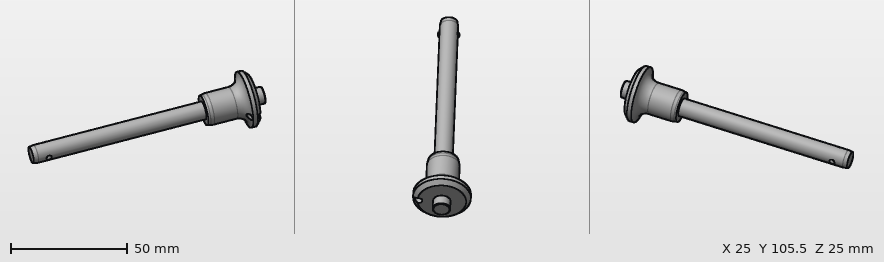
import cadquery as cq
import math

OVERALL_LENGTH = 105.5

SHANK_RADIUS = 4.0
NOSE_RADIUS = 3.7
NOSE_LENGTH = 2.0

SHOULDER_RADIUS = 6.6
COLLAR_RADIUS = 6.9
BODY_DIAMETER = 14.2
FLANGE_DIAMETER = 25.0
FLANGE_CHAMFER = 2.0
COLLAR_LENGTH = 1.0
TAPER_LENGTH = 1.6
BODY_LENGTH = 10.5
RIM_WIDTH = 2.0
BODY_RADIUS = BODY_DIAMETER / 2
FLANGE_RADIUS = FLANGE_DIAMETER / 2
FLARE_RADIUS = FLANGE_RADIUS - BODY_RADIUS

BUTTON_RADIUS = 3.8
BUTTON_LENGTH = 4.6
BUTTON_CHAMFER = 0.3

BALL_RADIUS = 1.4
BALL_REACH = 4.7
BALL_FROM_NOSE = 6.9

LANYARD_HOLE_DIAMETER = 3.2
LANYARD_HOLE_OFFSET = 10.0

collar_end = COLLAR_LENGTH
body_start = collar_end + TAPER_LENGTH
body_end = body_start + BODY_LENGTH
rim_start = body_end + FLARE_RADIUS
rim_end = rim_start + RIM_WIDTH
handle_end = rim_end + FLANGE_CHAMFER
button_end = handle_end + BUTTON_LENGTH
nose_tip = button_end - OVERALL_LENGTH


def make_turned_body():
    """Revolve the shank, handle and button from one half profile."""
    flare_midpoint = (
        FLANGE_RADIUS - FLARE_RADIUS * math.cos(math.pi / 4),
        body_end + FLARE_RADIUS * math.sin(math.pi / 4),
    )
    profile = (
        cq.Workplane("XY")
        .moveTo(0, nose_tip)
        .lineTo(NOSE_RADIUS, nose_tip)
        .lineTo(SHANK_RADIUS, nose_tip + NOSE_LENGTH)
        .lineTo(SHANK_RADIUS, 0)
        .lineTo(SHOULDER_RADIUS, 0)
        .lineTo(COLLAR_RADIUS, collar_end)
        .lineTo(BODY_RADIUS, body_start)
        .lineTo(BODY_RADIUS, body_end)
        .threePointArc(flare_midpoint, (FLANGE_RADIUS, rim_start))
        .lineTo(FLANGE_RADIUS, rim_end)
        .lineTo(FLANGE_RADIUS - FLANGE_CHAMFER, handle_end)
        .lineTo(BUTTON_RADIUS, handle_end)
        .lineTo(BUTTON_RADIUS, button_end - BUTTON_CHAMFER)
        .lineTo(BUTTON_RADIUS - BUTTON_CHAMFER, button_end)
        .lineTo(0, button_end)
        .close()
    )
    return profile.revolve(360, (0, 0, 0), (0, 1, 0))


def make_locking_ball(side):
    """Ball standing out of the shank on the +X (side 1) or -X (side -1) face."""
    center_x = side * (BALL_REACH - BALL_RADIUS)
    center = (center_x, nose_tip + BALL_FROM_NOSE, 0)
    return cq.Workplane("XY").sphere(BALL_RADIUS).translate(center)


def make_lanyard_hole():
    """Cutter running along Y through the flange, beside the handle body."""
    return (
        cq.Workplane("XZ", origin=(LANYARD_HOLE_OFFSET, handle_end, 0))
        .circle(LANYARD_HOLE_DIAMETER / 2)
        .extrude(handle_end - body_end)
    )


result = make_turned_body().cut(make_lanyard_hole())
for ball_side in (-1, 1):
    result = result.union(make_locking_ball(ball_side))